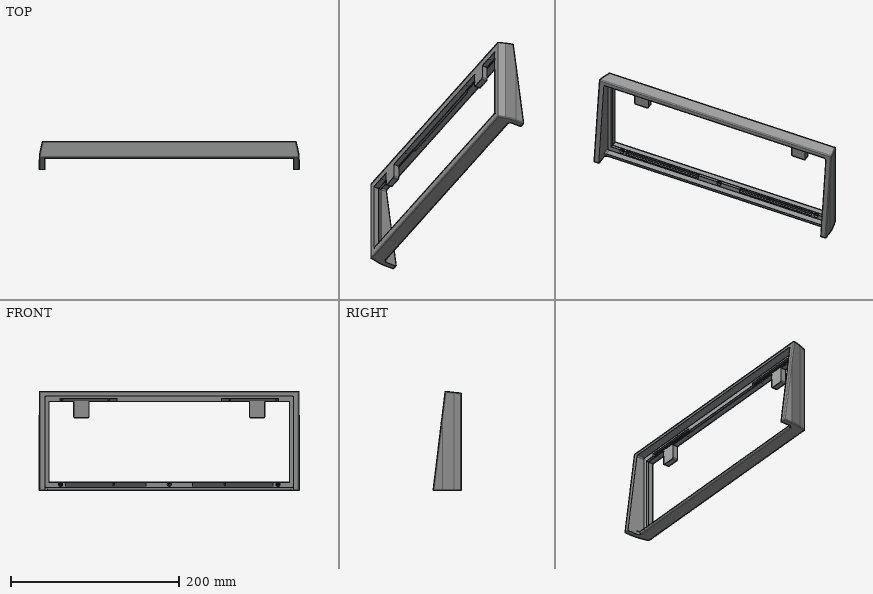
import cadquery as cq
import math

LENGTH = 309.5
DEPTH = 33.7
HEIGHT = 118.2
HALF_LENGTH = LENGTH / 2

TOP_DEPTH = 19.5
TOP_RISE = 2.2
CHEEK_TAPER = 14.0
CHEEK_FLAT = 9.0
CHEEK_CURVE = 22.5
EDGE_ROUND = 1.2

RECESS_HALF = 148.0
RECESS_TOP = 112.5
FLOOR = 3.7
FLOOR_DEPTH = 17.5
FLOOR_FILLET = 2.8
RECESS_CORNER = 2.0
CUT_REACH = 2 * DEPTH
FRAME_DEPTH = 10.0
PLATE_DEPTH = 6.8
WINDOW_HALF = 143.0
WINDOW_BOTTOM = 10.2
WINDOW_TOP = 106.0
WINDOW_STEP = 0.3

TAB_CENTRE = 104.5
TAB_WIDTH = 18.3
TAB_BOTTOM = 86.5
TAB_CORNER = 2.0

STEP_DEPTH = 7.5
TOP_REBATE = (62.0, 130.0)
TOP_STEPS = (108.0, 109.8)
LOW_REBATE = (27.5, 123.5)
LOW_STEPS = (8.0, 5.5)

PILOT_DIAMETER = 2.0
SEAT_DIAMETER = 5.0
PILOT_END = 2.8
LOW_HOLE_Z = 7.7
TOP_HOLE_Z = 108.3
SEAT_X = (-129.3, 0.0, 129.3)
LOW_PILOT_X = (-66.2, 66.2)
TOP_PILOT_X = (-127.5, -72.0, 72.0, 127.5)


def block(x_range, depth_range, z_range):
    """Box between two X values, two depths measured from the back face, and two Z values."""
    x0, x1 = x_range
    d0, d1 = depth_range
    z0, z1 = z_range
    return cq.Workplane("XY").box(x1 - x0, d1 - d0, z1 - z0, centered=False).translate((x0, -d1, z0))


def lost_by_rounding(slope):
    """How far rounding an edge pulls its tip back when one adjoining face has this slope."""
    return EDGE_ROUND * (slope + math.sqrt(1 + slope**2) - 1)


def outer_shell():
    lean = math.radians(CHEEK_TAPER)
    radius = (CHEEK_CURVE - CHEEK_FLAT) / math.sin(lean)
    flat_x = HALF_LENGTH - radius * (1 - math.cos(lean))
    back_x = flat_x - CHEEK_FLAT * math.tan(lean)
    mid_x = HALF_LENGTH - radius * (1 - math.cos(lean / 2))
    mid_y = -CHEEK_CURVE + radius * math.sin(lean / 2)
    tip_depth = DEPTH + lost_by_rounding((DEPTH - TOP_DEPTH) / HEIGHT)
    tip_height = HEIGHT + lost_by_rounding(TOP_RISE / TOP_DEPTH)
    plan = (
        cq.Workplane("XY")
        .moveTo(-back_x, 0)
        .lineTo(back_x, 0)
        .lineTo(flat_x, -CHEEK_FLAT)
        .threePointArc((mid_x, mid_y), (HALF_LENGTH, -CHEEK_CURVE))
        .lineTo(HALF_LENGTH, -tip_depth)
        .lineTo(-HALF_LENGTH, -tip_depth)
        .lineTo(-HALF_LENGTH, -CHEEK_CURVE)
        .threePointArc((-mid_x, mid_y), (-flat_x, -CHEEK_FLAT))
        .close()
        .extrude(tip_height)
    )
    side = (
        cq.Workplane("YZ")
        .polyline([(0, 0), (-tip_depth, 0), (-TOP_DEPTH, tip_height), (0, tip_height - TOP_RISE)])
        .close()
        .extrude(HALF_LENGTH, both=True)
    )
    shell = plan.intersect(side)
    return shell.faces("<Y or >Y or <Z or >Z").edges().fillet(EDGE_ROUND)


def front_recess():
    across = (-RECESS_HALF, RECESS_HALF)
    pocket = block(across, (FRAME_DEPTH, CUT_REACH), (FLOOR, RECESS_TOP)).edges("|Y").fillet(RECESS_CORNER)
    open_base = block(across, (FLOOR_DEPTH, CUT_REACH), (0, RECESS_TOP / 2))
    open_base = open_base.edges("|Z and >Y").fillet(FLOOR_FILLET)
    return pocket.union(open_base)


def floor_edge():
    """Waste outside the rounded lower front edge of the bottom wall, between its corner fillets."""
    half = RECESS_HALF - FLOOR_FILLET
    corner = block((-half, half), (FLOOR_DEPTH - EDGE_ROUND, FLOOR_DEPTH), (0, EDGE_ROUND))
    centre = (0, EDGE_ROUND - FLOOR_DEPTH, EDGE_ROUND)
    rounding = cq.Workplane("YZ", origin=centre).circle(EDGE_ROUND).extrude(half, both=True)
    return corner.cut(rounding)


def window():
    half = WINDOW_HALF + WINDOW_STEP
    rear = block((-WINDOW_HALF, WINDOW_HALF), (0, FRAME_DEPTH), (WINDOW_BOTTOM, WINDOW_TOP))
    heights = (WINDOW_BOTTOM - WINDOW_STEP, WINDOW_TOP + WINDOW_STEP)
    front = block((-half, half), (PLATE_DEPTH, FRAME_DEPTH), heights)
    return rear.union(front)


def tab(centre):
    across = (centre - TAB_WIDTH / 2, centre + TAB_WIDTH / 2)
    plate = block(across, (0, PLATE_DEPTH), (TAB_BOTTOM, RECESS_TOP))
    return plate.edges("|Y and <Z").fillet(TAB_CORNER)


def rebate(x_range, steps, window_edge):
    """Two-step rebate in the frame's front layer, open to the window."""
    near, far = steps
    deep = block(x_range, (PLATE_DEPTH, FRAME_DEPTH), sorted((near, window_edge)))
    shallow = block(x_range, (STEP_DEPTH, FRAME_DEPTH), sorted((far, window_edge)))
    return deep.union(shallow)


def hole(x, z, diameter, depth_range):
    rear, front = depth_range
    return cq.Workplane("XZ", origin=(x, -rear, z)).circle(diameter / 2).extrude(front - rear)


result = outer_shell().cut(front_recess())
result = result.cut(floor_edge()).cut(window())

for side in (-1, 1):
    result = result.union(tab(side * TAB_CENTRE))
    for ends, steps, window_edge in (
        (TOP_REBATE, TOP_STEPS, WINDOW_TOP),
        (LOW_REBATE, LOW_STEPS, WINDOW_BOTTOM),
    ):
        result = result.cut(rebate(sorted(side * end for end in ends), steps, window_edge))

for x in SEAT_X:
    result = result.cut(hole(x, LOW_HOLE_Z, SEAT_DIAMETER, (PLATE_DEPTH, FRAME_DEPTH)))
for x in SEAT_X + LOW_PILOT_X:
    result = result.cut(hole(x, LOW_HOLE_Z, PILOT_DIAMETER, (PILOT_END, FRAME_DEPTH)))
for x in TOP_PILOT_X:
    result = result.cut(hole(x, TOP_HOLE_Z, PILOT_DIAMETER, (PILOT_END, FRAME_DEPTH)))